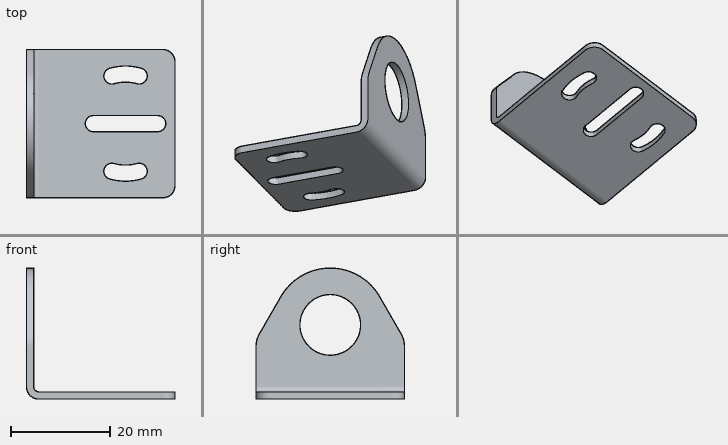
import cadquery as cq
import math

length = 30.0
width = 30.0
thickness = 1.5
bend_inner_radius = 1.0
bend_outer_radius = bend_inner_radius + thickness

bore_height = 15.0
bore_diameter = 12.2
crown_radius = 11.5
flank_angle = 60.0
shoulder_radius = 5.0
height = bore_height + crown_radius

base_corner_radius = 2.5
slot_center_x = 20.0
slot_width = 3.2
straight_slot_travel = 13.0
curved_slot_radius = 10.0
curved_slot_half_angle = 16.0


def bent_sheet():
    """L-shaped sheet with a rounded bend, centred on Y = 0."""
    sheet = (
        cq.Workplane("XZ")
        .polyline([
            (0, 0),
            (length, 0),
            (length, thickness),
            (thickness, thickness),
            (thickness, height),
            (0, height),
        ])
        .close()
        .extrude(width / 2, both=True)
    )
    sheet = sheet.edges(cq.selectors.NearestToPointSelector((0, 0, 0))).fillet(bend_outer_radius)
    inner_corner = (thickness, 0, thickness)
    sheet = sheet.edges(cq.selectors.NearestToPointSelector(inner_corner)).fillet(bend_inner_radius)
    return sheet.edges("|Z and >X").fillet(base_corner_radius)


def upright_outline():
    """Prism through the whole length whose section is the upright's rounded outline."""
    half_width = width / 2
    normal_angle = math.radians(90 - flank_angle)
    crown_end_y = crown_radius * math.cos(normal_angle)
    crown_end_z = bore_height + crown_radius * math.sin(normal_angle)
    shoulder_z = crown_end_z - (half_width - crown_end_y) * math.tan(math.radians(flank_angle))
    prism = (
        cq.Workplane("YZ")
        .moveTo(-half_width, 0)
        .lineTo(half_width, 0)
        .lineTo(half_width, shoulder_z)
        .lineTo(crown_end_y, crown_end_z)
        .threePointArc((0, height), (-crown_end_y, crown_end_z))
        .lineTo(-half_width, shoulder_z)
        .close()
        .extrude(length)
    )
    for side in (-1, 1):
        shoulder = (length / 2, side * half_width, shoulder_z)
        prism = prism.edges(cq.selectors.NearestToPointSelector(shoulder)).fillet(shoulder_radius)
    return prism


def bore():
    return (
        cq.Workplane("YZ")
        .center(0, bore_height)
        .circle(bore_diameter / 2)
        .extrude(thickness)
    )


def straight_slot():
    return (
        cq.Workplane("XY")
        .center(slot_center_x, 0)
        .slot2D(straight_slot_travel + slot_width, slot_width)
        .extrude(thickness)
    )


def curved_slot(side):
    """Arc slot about the straight slot's centre; side is +1 or -1 along Y."""
    outer_radius = curved_slot_radius + slot_width / 2
    inner_radius = curved_slot_radius - slot_width / 2
    half_angle = math.radians(curved_slot_half_angle)

    def point(radius, angle):
        return (radius * math.sin(angle), side * radius * math.cos(angle))

    def end_tip(direction):
        x, y = point(curved_slot_radius, direction * half_angle)
        along = direction * slot_width / 2
        return (x + along * math.cos(half_angle), y - side * slot_width / 2 * math.sin(half_angle))

    return (
        cq.Workplane("XY")
        .center(slot_center_x, 0)
        .moveTo(*point(outer_radius, -half_angle))
        .threePointArc(point(outer_radius, 0), point(outer_radius, half_angle))
        .threePointArc(end_tip(1), point(inner_radius, half_angle))
        .threePointArc(point(inner_radius, 0), point(inner_radius, -half_angle))
        .threePointArc(end_tip(-1), point(outer_radius, -half_angle))
        .close()
        .extrude(thickness)
    )


result = bent_sheet().intersect(upright_outline()).cut(bore()).cut(straight_slot())
for slot_side in (-1, 1):
    result = result.cut(curved_slot(slot_side))